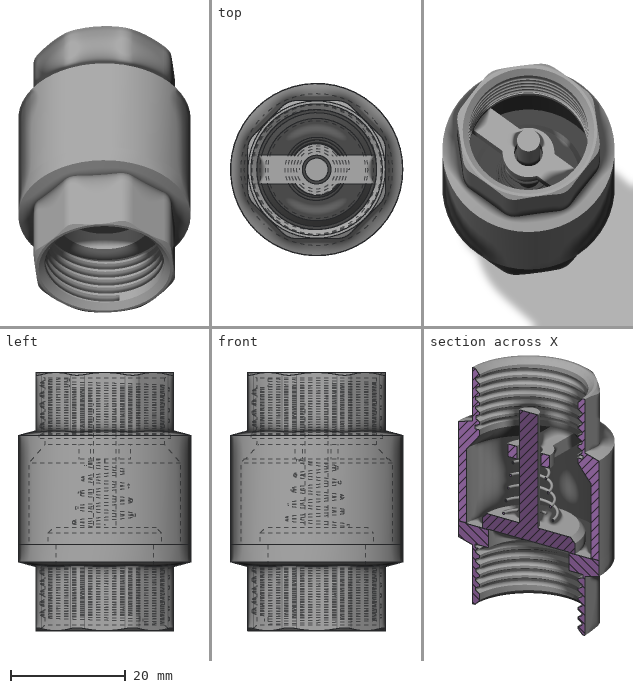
import cadquery as cq
import math

HALF_HEIGHT = 22.5

ACROSS_FLATS = 24.0
FLAT_COUNT = 8
CORNER_RADIUS = 3.5
END_FACE_DIAMETER = 23.9
END_CHAMFER_ANGLE = 35.0

BARREL_DIAMETER = 30.0
BARREL_TOP = 11.5
BARREL_BOTTOM = -10.5
SHOULDER_ANGLE = 15.0
SPLIT_HEIGHT = -7.5

BORE_DIAMETER = 20.86
SOCKET_MOUTH_DIAMETER = 22.91
THREAD_ROOT_DIAMETER = 22.51
THREAD_PITCH = 1.814
THREAD_FLANK_ANGLE = 27.5
THREAD_START = 10.9
THREAD_TURNS = 5.4
THREAD_OVERLAP = 0.1
SOCKET_DEPTH = 11.5
RELIEF_HEIGHT = 0.6
SOCKET_WALL_DIAMETER = 23.4

CHAMBER_DIAMETER = 26.44
CHAMBER_CONE_TOP = 9.9
CHAMBER_CONE_BOTTOM = 6.7

BRIDGE_WIDTH = 5.0
BRIDGE_THICKNESS = 2.5
HUB_DIAMETER = 9.0
GUIDE_HOLE_DIAMETER = 5.0

PORT_DIAMETER = 17.0

DISC_DIAMETER = 19.8
DISC_THICKNESS = 3.0
DISC_CHAMFER = 1.0
STEM_DIAMETER = 4.0
STEM_TOP = 17.0

WIRE_DIAMETER = 0.5
SPRING_BASE_RADIUS = 5.5
SPRING_TURNS = 4.5
SPRING_RADIUS_STEP = 0.5
SPRING_POINTS_PER_TURN = 16

BORE_RADIUS = BORE_DIAMETER / 2
BARREL_RADIUS = BARREL_DIAMETER / 2
CHAMBER_RADIUS = CHAMBER_DIAMETER / 2
SOCKET_FLOOR = HALF_HEIGHT - SOCKET_DEPTH
BRIDGE_BOTTOM = CHAMBER_CONE_TOP - BRIDGE_THICKNESS
DISC_TOP = SPLIT_HEIGHT + DISC_THICKNESS


def cylinder(diameter, bottom, top):
    return cq.Workplane("XY", origin=(0, 0, bottom)).circle(diameter / 2).extrude(top - bottom)


def revolved(outline):
    """Turn an (r, z) outline about the Z axis."""
    return cq.Workplane("XZ").polyline(outline).close().revolve(360, (0, 0, 0), (0, 1, 0))


def wrench_end(bottom):
    """Octagonal end from `bottom` up to the end face, with rounded corners and a conical chamfer."""
    corner_circle = ACROSS_FLATS / math.cos(math.pi / FLAT_COUNT)
    prism = (
        cq.Workplane("XY", origin=(0, 0, bottom))
        .transformed(rotate=(0, 0, 180 / FLAT_COUNT))
        .polygon(FLAT_COUNT, corner_circle)
        .extrude(HALF_HEIGHT - bottom)
        .edges("|Z")
        .fillet(CORNER_RADIUS)
    )
    face_radius = END_FACE_DIAMETER / 2
    chamfer_drop = (BARREL_RADIUS - face_radius) * math.tan(math.radians(END_CHAMFER_ANGLE))
    envelope = revolved([
        (0, bottom),
        (BARREL_RADIUS, bottom),
        (BARREL_RADIUS, HALF_HEIGHT - chamfer_drop),
        (face_radius, HALF_HEIGHT),
        (0, HALF_HEIGHT),
    ])
    return prism.intersect(envelope)


def barrel(bottom, top):
    """Round barrel whose upper face is a shallow cone."""
    rise = BARREL_RADIUS * math.tan(math.radians(SHOULDER_ANGLE))
    return revolved([(0, bottom), (BARREL_RADIUS, bottom), (BARREL_RADIUS, top), (0, top + rise)])


def thread_groove():
    """Helical trapezoid ridge that cuts the socket thread.

    It starts just below the socket floor and ends under the conical mouth.
    """
    root_radius = THREAD_ROOT_DIAMETER / 2
    mouth_radius = BORE_RADIUS - THREAD_OVERLAP
    slope = math.tan(math.radians(THREAD_FLANK_ANGLE))
    root_half_width = THREAD_PITCH / 4 - (root_radius - BORE_RADIUS) * slope / 2
    mouth_half_width = root_half_width + (root_radius - mouth_radius) * slope
    length = THREAD_TURNS * THREAD_PITCH
    path = cq.Wire.makeHelix(THREAD_PITCH, length, BORE_RADIUS, center=cq.Vector(0, 0, THREAD_START))
    return (
        cq.Workplane("XZ")
        .polyline([
            (mouth_radius, THREAD_START - mouth_half_width),
            (root_radius, THREAD_START - root_half_width),
            (root_radius, THREAD_START + root_half_width),
            (mouth_radius, THREAD_START + mouth_half_width),
        ])
        .close()
        .sweep(cq.Workplane(obj=path), isFrenet=True)
    )


def make_socket_wall():
    """Threaded wall of a socket, from its floor to the end face.

    The thread is cut through an over-long tube, which is then trimmed to the socket depth with a
    conical mouth and a run-out relief at the floor.
    """
    tube_bottom = SOCKET_FLOOR - 2 * THREAD_PITCH
    tube_top = HALF_HEIGHT + 2 * THREAD_PITCH
    tube = cylinder(SOCKET_WALL_DIAMETER, tube_bottom, tube_top)
    tube = tube.cut(cylinder(BORE_DIAMETER, tube_bottom, tube_top)).cut(thread_groove())

    mouth_radius = SOCKET_MOUTH_DIAMETER / 2
    inner_radius = BORE_RADIUS / 2
    relief_top = SOCKET_FLOOR + RELIEF_HEIGHT
    trim = revolved([
        (mouth_radius, SOCKET_FLOOR),
        (BARREL_RADIUS, SOCKET_FLOOR),
        (BARREL_RADIUS, HALF_HEIGHT),
        (mouth_radius, HALF_HEIGHT),
        (inner_radius, HALF_HEIGHT - mouth_radius + inner_radius),
        (inner_radius, relief_top),
        (mouth_radius, relief_top),
    ])
    return tube.intersect(trim)


def make_end(bottom, barrel_top):
    """Barrel from `bottom` with its octagonal end and threaded socket, solid below the socket."""
    body = barrel(bottom, barrel_top).union(wrench_end(bottom))
    body = body.cut(cylinder(SOCKET_WALL_DIAMETER, SOCKET_FLOOR, HALF_HEIGHT))
    return body.union(make_socket_wall())


def make_bridge():
    """Bar with a central hub and guide hole that spans the bore of the housing."""
    bar = (
        cq.Workplane("XY", origin=(0, 0, BRIDGE_BOTTOM))
        .rect(CHAMBER_DIAMETER, BRIDGE_WIDTH)
        .extrude(BRIDGE_THICKNESS)
    )
    hub = cylinder(HUB_DIAMETER, BRIDGE_BOTTOM, CHAMBER_CONE_TOP)
    return bar.union(hub).cut(cylinder(GUIDE_HOLE_DIAMETER, BRIDGE_BOTTOM, CHAMBER_CONE_TOP))


def make_housing():
    chamber = revolved([
        (0, SPLIT_HEIGHT),
        (CHAMBER_RADIUS, SPLIT_HEIGHT),
        (CHAMBER_RADIUS, CHAMBER_CONE_BOTTOM),
        (BORE_RADIUS, CHAMBER_CONE_TOP),
        (BORE_RADIUS, SOCKET_FLOOR),
        (0, SOCKET_FLOOR),
    ])
    return make_end(SPLIT_HEIGHT, BARREL_TOP).cut(chamber).union(make_bridge())


def make_cap():
    """Lower end, modelled with its socket upwards and then turned over."""
    cap = make_end(-SPLIT_HEIGHT, -BARREL_BOTTOM)
    cap = cap.cut(cylinder(PORT_DIAMETER, -SPLIT_HEIGHT, SOCKET_FLOOR))
    return cap.rotate((0, 0, 0), (1, 0, 0), 180)


def make_plug():
    disc = cylinder(DISC_DIAMETER, SPLIT_HEIGHT, DISC_TOP).faces(">Z").chamfer(DISC_CHAMFER)
    return disc.union(cylinder(STEM_DIAMETER, SPLIT_HEIGHT, STEM_TOP))


def make_spring():
    """Conical spring between the disc and the bridge hub, widest at the disc."""
    base = DISC_TOP + WIRE_DIAMETER / 2
    rise = BRIDGE_BOTTOM - WIRE_DIAMETER / 2 - base
    count = int(SPRING_TURNS * SPRING_POINTS_PER_TURN)
    points = []
    for i in range(count + 1):
        turn = i / SPRING_POINTS_PER_TURN
        angle = 2 * math.pi * turn
        radius = SPRING_BASE_RADIUS - SPRING_RADIUS_STEP * turn
        points.append((radius * math.cos(angle), radius * math.sin(angle), base + rise * turn / SPRING_TURNS))
    path = cq.Workplane("XY").spline(points)
    wire_plane = cq.Plane(origin=points[0], xDir=(1, 0, 0), normal=path.val().tangentAt(0))
    return cq.Workplane(wire_plane).circle(WIRE_DIAMETER / 2).sweep(path, isFrenet=True)


housing = make_housing()
cap = make_cap()
plug = make_plug()
spring = make_spring()

result = cq.Compound.makeCompound([housing.val(), cap.val(), plug.val(), spring.val()])